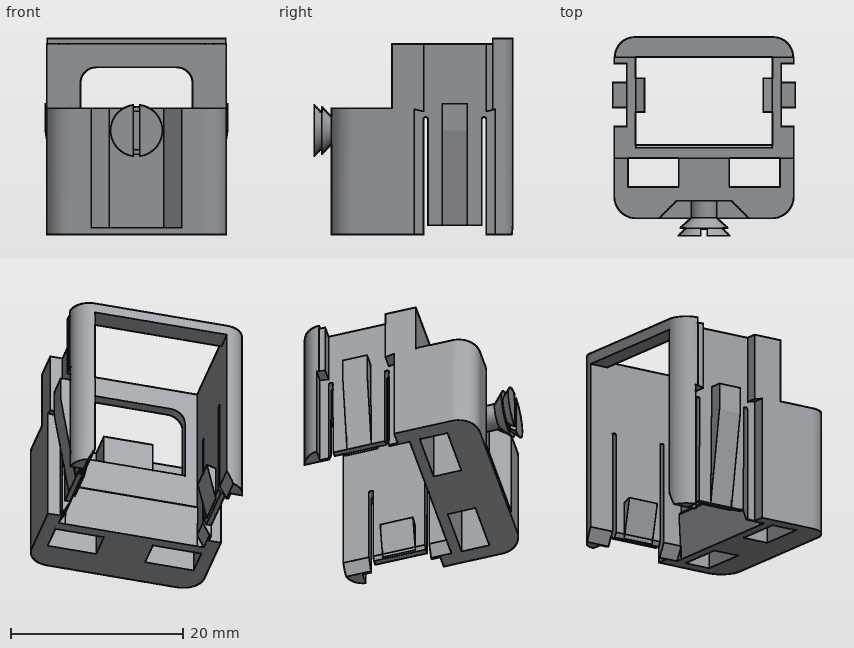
import cadquery as cq

half_width = 10.45
body_depth = 21.1
frame_height = 22.15
block_height = 14.7
front_corner_radius = 2.59

block_depth = 7.02
frame_wall = 1.22
opening_half_width = 7.95
opening_front = block_depth + frame_wall

column_radius = 2.35
column_half_width = 10.37
column_front = body_depth - column_radius
bar_top = 22.8
bar_thickness = 1.32

window_half_width = 6.5
window_top = 19.4
window_sill = 10.0
window_radius = 1.8

pocket_front = 3.67
tongue_half_width = 2.95
pocket_outer = 8.8

recess_depth = 2.05
recess_floor_half_width = 3.19
recess_bottom = 0.76

groove_floor = 8.99
arm_width = 6.25
slot_width = 0.5
arm_center = 14.35
groove_half_width = arm_width / 2 + slot_width
wide_groove_half_width = 4.7
wide_groove_top = 14.55
wide_groove_slope = 0.25

arm_bottom = 1.06
slot_top = 13.63
bend_height = 12.08
arm_taper = 0.16
rib_width = 2.93
rib_outer = 10.6
rib_top = 15.2
hook_width = 3.95
hook_reach = 1.06
hook_root = 5.43
hook_tip = 5.78

flare_height = 1.62
flare_width = 0.8
ledge_reach = 0.3

screw_height = bend_height
shank_radius = 1.5
shank_end = 0.1
cone_radius = 2.77
cone_end = -1.1
head_radius = 3.0
head_end = -2.0
head_base_radius = head_radius - (cone_end - head_end)
driver_slot_width = 0.75
driver_slot_depth = 0.75


def box(x_range, y_range, z_range):
    """Box between the given limits."""
    size = [high - low for low, high in (x_range, y_range, z_range)]
    corner = (x_range[0], y_range[0], z_range[0])
    return cq.Workplane("XY").box(*size, centered=False).translate(corner)


def side_prism(points, center, width):
    """(x, z) outline extruded along Y, centred on y = center."""
    return cq.Workplane("XZ", origin=(0, center + width / 2, 0)).polyline(points).close().extrude(width)


def on_both_sides(shape):
    return shape.union(shape.mirror("YZ"))


def make_body():
    block = box((-half_width, half_width), (0, block_depth), (0, block_height))
    block = block.edges("|Z and <Y").fillet(front_corner_radius)
    frame = box((-half_width, half_width), (block_depth, column_front), (0, frame_height))
    back = box((-column_half_width, column_half_width), (column_front, body_depth), (0, bar_top))
    for side in (-1, 1):
        edge_x = side * column_half_width
        center_x = side * (column_half_width - column_radius)
        corner = box(sorted((edge_x, center_x)), (column_front, body_depth), (0, bar_top))
        round_post = cq.Workplane("XY", origin=(center_x, column_front, 0)).circle(column_radius)
        back = back.cut(corner.cut(round_post.extrude(bar_top)))
    opening = box(
        (-opening_half_width, opening_half_width),
        (opening_front, body_depth),
        (0, bar_top - bar_thickness),
    )
    bar_gap = box(
        (-opening_half_width, opening_half_width),
        (opening_front, column_front),
        (0, frame_height),
    )
    return block.union(frame).union(back).cut(opening).cut(bar_gap)


def make_window():
    window = box(
        (-window_half_width, window_half_width),
        (block_depth, opening_front),
        (window_sill, window_top),
    )
    return window.edges("|Y and >Z").fillet(window_radius)


def make_pockets():
    pocket = box((tongue_half_width, pocket_outer), (pocket_front, block_depth), (0, block_height))
    return on_both_sides(pocket)


def make_recess():
    mouth_half_width = recess_floor_half_width + recess_depth
    outline = [
        (-mouth_half_width, 0),
        (mouth_half_width, 0),
        (recess_floor_half_width, recess_depth),
        (-recess_floor_half_width, recess_depth),
    ]
    recess = cq.Workplane("XY", origin=(0, 0, recess_bottom)).polyline(outline).close()
    return recess.extrude(block_height - recess_bottom)


def make_grooves():
    narrow_top = wide_groove_top - wide_groove_slope
    outline = [
        (arm_center - wide_groove_half_width, 0),
        (arm_center + wide_groove_half_width, 0),
        (arm_center + wide_groove_half_width, wide_groove_top),
        (arm_center + groove_half_width, narrow_top),
        (arm_center + groove_half_width, frame_height),
        (arm_center - groove_half_width, frame_height),
        (arm_center - groove_half_width, narrow_top),
        (arm_center - wide_groove_half_width, wide_groove_top),
    ]
    groove = cq.Workplane("YZ", origin=(groove_floor, 0, 0)).polyline(outline).close()
    return on_both_sides(groove.extrude(half_width - groove_floor))


def make_flare():
    outline = [
        (opening_half_width, 0),
        (opening_half_width + flare_width, 0),
        (opening_half_width, flare_height),
    ]
    length = body_depth - opening_front
    return on_both_sides(side_prism(outline, opening_front + length / 2, length))


def make_arm_clearance():
    """Round-topped slots beside each arm, the gap below it and the taper of its outer face."""
    wall = groove_floor - opening_half_width
    slot_offset = (arm_width + slot_width) / 2
    gap = box(
        (opening_half_width, groove_floor),
        (arm_center - groove_half_width, arm_center + groove_half_width),
        (0, arm_bottom),
    )
    for slot_y in (arm_center - slot_offset, arm_center + slot_offset):
        slot = (
            cq.Workplane("YZ", origin=(opening_half_width, slot_y, 0))
            .moveTo(-slot_width / 2, 0)
            .lineTo(slot_width / 2, 0)
            .lineTo(slot_width / 2, slot_top - slot_width / 2)
            .threePointArc((0, slot_top), (-slot_width / 2, slot_top - slot_width / 2))
            .close()
            .extrude(wall)
        )
        gap = gap.union(slot)
    taper = [
        (groove_floor, bend_height),
        (groove_floor, arm_bottom),
        (groove_floor - arm_taper, arm_bottom),
    ]
    return on_both_sides(gap.union(side_prism(taper, arm_center, arm_width)))


def make_ribs():
    outline = [
        (groove_floor - arm_taper, arm_bottom),
        (rib_outer, bend_height),
        (rib_outer, rib_top),
        (groove_floor - arm_taper, rib_top),
    ]
    return on_both_sides(side_prism(outline, arm_center, rib_width))


def make_hooks():
    outline = [
        (opening_half_width, arm_bottom),
        (opening_half_width, hook_root),
        (opening_half_width - hook_reach, hook_tip),
    ]
    return on_both_sides(side_prism(outline, arm_center, hook_width))


def make_ledge():
    """Wedge across the front wall of the opening, widest at the height of the hook roots."""
    outline = [
        (opening_front, 0),
        (opening_front + ledge_reach, hook_root),
        (opening_front, hook_root + ledge_reach),
    ]
    ledge = cq.Workplane("YZ", origin=(-opening_half_width, 0, 0)).polyline(outline).close()
    return ledge.extrude(2 * opening_half_width)


def make_screw():
    profile = [
        (0, recess_depth),
        (shank_radius, recess_depth),
        (shank_radius, shank_end),
        (cone_radius, cone_end),
        (head_base_radius, cone_end),
        (head_radius, head_end),
        (0, head_end),
    ]
    screw = cq.Workplane("XY").polyline(profile).close().revolve(360, (0, 0, 0), (0, 1, 0))
    driver_slot = box(
        (-driver_slot_width / 2, driver_slot_width / 2),
        (head_end, head_end + driver_slot_depth),
        (-head_radius, head_radius),
    )
    return screw.cut(driver_slot).translate((0, 0, screw_height))


body = make_body()
cutters = (
    make_window(),
    make_pockets(),
    make_recess(),
    make_grooves(),
    make_flare(),
    make_arm_clearance(),
)
for cutter in cutters:
    body = body.cut(cutter)

result = body
for addition in (make_ribs(), make_hooks(), make_ledge(), make_screw()):
    result = result.union(addition)